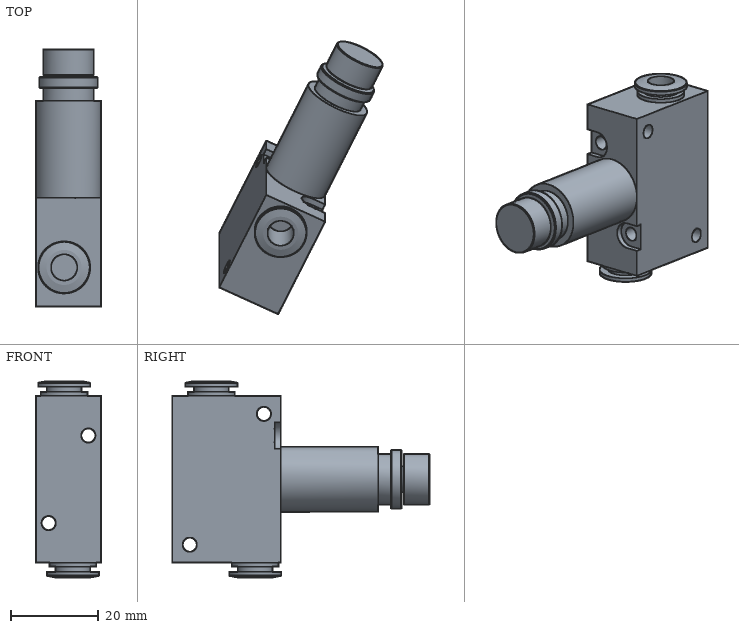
import cadquery as cq

block_width = 15.0
block_depth = 24.9
block_height = 38.25
overall_height = 45.0
half_width = block_width / 2
half_height = block_height / 2

hole_diameter = 3.2
side_hole_z = 15.0
side_hole_low_y = 4.0
side_hole_high_y = 21.0
rear_hole_x = 4.55
rear_hole_z = 10.05
recess_width = 6.0
recess_depth = 1.4

fitting_offset_x = 1.0
top_fitting_y = 8.95
bottom_fitting_y = 19.0
collar_diameter = 10.8
collar_height = 0.9
fitting_neck_diameter = 8.0
neck_top = 2.05
flange_diameter = 12.0
flange_edge_top = 2.9
flange_chamfer = 0.15
flange_height = (overall_height - block_height) / 2
tube_bore_diameter = 6.0
tube_bore_depth = 10.05

barrel_diameter = block_width
barrel_end = 47.15
knob_diameter = 11.7
knob_start = 53.0
knob_end = 59.0
knob_chamfer = 0.2
lock_ring_diameter = 13.5
lock_ring_start = 50.05
lock_ring_end = 52.6
lock_ring_chamfer = 0.25
stem_diameter = 6.0


def revolved(profile):
    """Turn a list of (radius, height) points about the Z axis."""
    return cq.Workplane("XZ").polyline(profile).close().revolve(360, (0, 0, 0), (0, 1, 0))


def rod(diameter, start, end):
    """Cylinder along Y on the adjuster axis."""
    return cq.Workplane("XZ", origin=(0, start, 0)).circle(diameter / 2).extrude(start - end)


def fitting():
    """Tube fitting standing on Z = 0, without its bore."""
    flange_radius = flange_diameter / 2
    neck_radius = fitting_neck_diameter / 2
    profile = [
        (0, 0),
        (collar_diameter / 2, 0),
        (collar_diameter / 2, collar_height),
        (neck_radius, collar_height),
        (neck_radius, neck_top),
        (flange_radius, neck_top),
        (flange_radius, flange_edge_top),
        (flange_radius - flange_chamfer, flange_edge_top + flange_chamfer),
        (neck_radius, flange_height),
        (0, flange_height),
    ]
    return revolved(profile)


def tube_bore():
    """Blind tube socket, measured down from the fitting's outer end."""
    bottom = flange_height - tube_bore_depth
    return cq.Workplane("XY", origin=(0, 0, bottom)).circle(tube_bore_diameter / 2).extrude(tube_bore_depth)


def on_top(shape):
    return shape.translate((-fitting_offset_x, top_fitting_y, half_height))


def on_bottom(shape):
    flipped = shape.rotate((0, 0, 0), (1, 0, 0), 180)
    return flipped.translate((fitting_offset_x, bottom_fitting_y, -half_height))


def adjuster():
    """Barrel, threaded neck, lock ring, stem and knob."""
    barrel = rod(barrel_diameter, block_depth, barrel_end)
    neck = rod(knob_diameter, barrel_end, lock_ring_start)
    lock_ring = rod(lock_ring_diameter, lock_ring_start, lock_ring_end).edges().chamfer(lock_ring_chamfer)
    stem = rod(stem_diameter, lock_ring_end, knob_start)
    knob = rod(knob_diameter, knob_start, knob_end).edges().chamfer(knob_chamfer)
    return barrel.union(neck).union(lock_ring).union(stem).union(knob)


def screw_recess(side):
    """Round-ended recess around a rear hole, open to the nearer side face (side is -1 or +1)."""
    depth_start = block_depth - recess_depth
    hole_x = side * rear_hole_x
    hole_z = side * rear_hole_z
    pocket = cq.Workplane("XZ", origin=(hole_x, depth_start, hole_z)).circle(recess_width / 2)
    pocket = pocket.extrude(-recess_depth)
    reach = half_width - rear_hole_x
    opening = cq.Workplane("XZ", origin=(hole_x + side * reach / 2, depth_start, hole_z))
    opening = opening.rect(reach, recess_width).extrude(-recess_depth)
    return pocket.union(opening)


block = cq.Workplane("XY").box(block_width, block_depth, block_height, centered=(True, False, True))
side_holes = (
    cq.Workplane("YZ", origin=(-half_width, 0, 0))
    .pushPoints([(side_hole_low_y, -side_hole_z), (side_hole_high_y, side_hole_z)])
    .circle(hole_diameter / 2)
    .extrude(block_width)
)
block = block.cut(side_holes)
for side in (-1, 1):
    rear_hole = (
        cq.Workplane("XZ", origin=(side * rear_hole_x, 0, side * rear_hole_z))
        .circle(hole_diameter / 2)
        .extrude(-block_depth)
    )
    block = block.cut(rear_hole).cut(screw_recess(side))

result = block.union(adjuster())
for place in (on_top, on_bottom):
    result = result.union(place(fitting())).cut(place(tube_bore()))